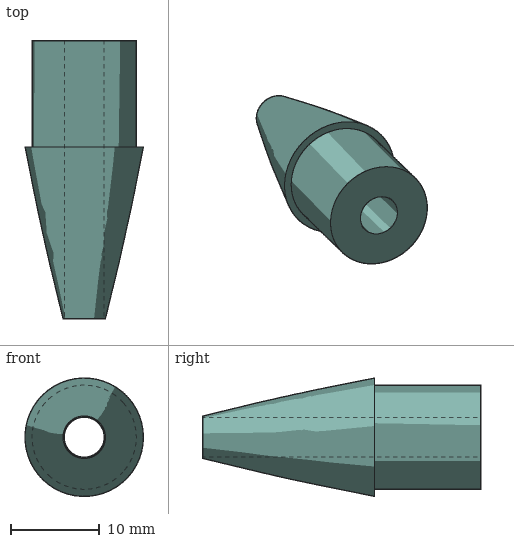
import cadquery as cq

total_length = 31.43
shank_length = 12.0
nose_length = total_length - shank_length

shank_diameter = 11.78
shoulder_diameter = 13.4
tip_diameter = 4.8
bore_diameter = 4.5

nose_bulge = 0.16


def make_body():
    """Revolve the half outline of nose and shank about the Y axis, tip face at Y = 0."""
    tip_radius = tip_diameter / 2
    shoulder_radius = shoulder_diameter / 2
    shank_radius = shank_diameter / 2
    mid_nose_radius = (tip_radius + shoulder_radius) / 2 + nose_bulge

    half_outline = (
        cq.Workplane("XY")
        .lineTo(tip_radius, 0)
        .threePointArc((mid_nose_radius, nose_length / 2), (shoulder_radius, nose_length))
        .lineTo(shank_radius, nose_length)
        .lineTo(shank_radius, total_length)
        .lineTo(0, total_length)
        .close()
    )
    return half_outline.revolve(360, (0, 0, 0), (0, 1, 0))


def make_bore():
    """Straight round bore along the whole length."""
    return cq.Workplane("XZ").circle(bore_diameter / 2).extrude(-total_length)


result = make_body().cut(make_bore())